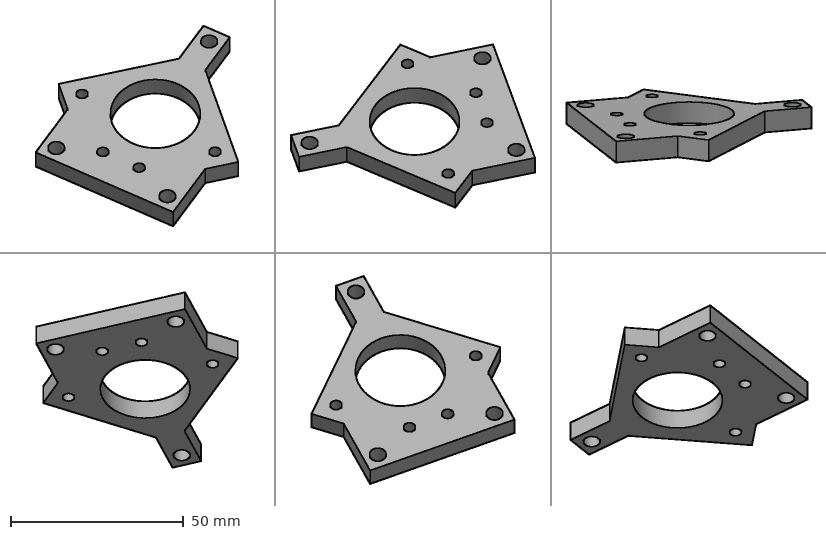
import cadquery as cq
import math

thickness = 6.4
bore_diameter = 26.0

mount_hole_diameter = 4.8
mount_wall = 2.0
mount_margin = mount_hole_diameter / 2 + mount_wall
foot_hole_spacing = 37.0
foot_to_tab_hole_distance = 56.98
tab_hole_y = 31.5
foot_hole_y = tab_hole_y - foot_to_tab_hole_distance

foot_width = foot_hole_spacing + 2 * mount_margin
foot_depth = 20.0
foot_front_y = foot_hole_y - mount_margin
tab_width = 2 * mount_margin
tab_length = 20.9
tab_end_y = tab_hole_y + mount_margin

plate_diagonal = 59.91
plate_side = plate_diagonal / math.sqrt(2)
plate_center_y = -4.0

screw_hole_diameter = 3.4
side_screw_x = 22.15
front_screw_x = 6.05
front_screw_y = plate_center_y - (side_screw_x - front_screw_x)


def make_motor_plate():
    plate = cq.Workplane("XY").rect(plate_side, plate_side).extrude(thickness)
    plate = plate.rotate((0, 0, 0), (0, 0, 1), 45).translate((0, plate_center_y, 0))
    front_corner_y = plate_center_y - plate_diagonal / 2
    corner_depth = foot_front_y - front_corner_y
    corner = (
        cq.Workplane("XY")
        .center(0, front_corner_y + corner_depth / 2)
        .rect(plate_diagonal, corner_depth)
        .extrude(thickness)
    )
    return plate.cut(corner)


def make_foot():
    foot_center_y = foot_front_y + foot_depth / 2
    return cq.Workplane("XY").center(0, foot_center_y).rect(foot_width, foot_depth).extrude(thickness)


def make_tab():
    tab_center_y = tab_end_y - tab_length / 2
    return cq.Workplane("XY").center(0, tab_center_y).rect(tab_width, tab_length).extrude(thickness)


def through_holes(points, diameter):
    return cq.Workplane("XY").pushPoints(points).circle(diameter / 2).extrude(thickness)


mount_points = [
    (-foot_hole_spacing / 2, foot_hole_y),
    (foot_hole_spacing / 2, foot_hole_y),
    (0, tab_hole_y),
]
screw_points = [
    (-side_screw_x, plate_center_y),
    (side_screw_x, plate_center_y),
    (-front_screw_x, front_screw_y),
    (front_screw_x, front_screw_y),
]

body = make_motor_plate().union(make_foot()).union(make_tab()).clean()
result = (
    body.cut(through_holes([(0, 0)], bore_diameter))
    .cut(through_holes(mount_points, mount_hole_diameter))
    .cut(through_holes(screw_points, screw_hole_diameter))
)